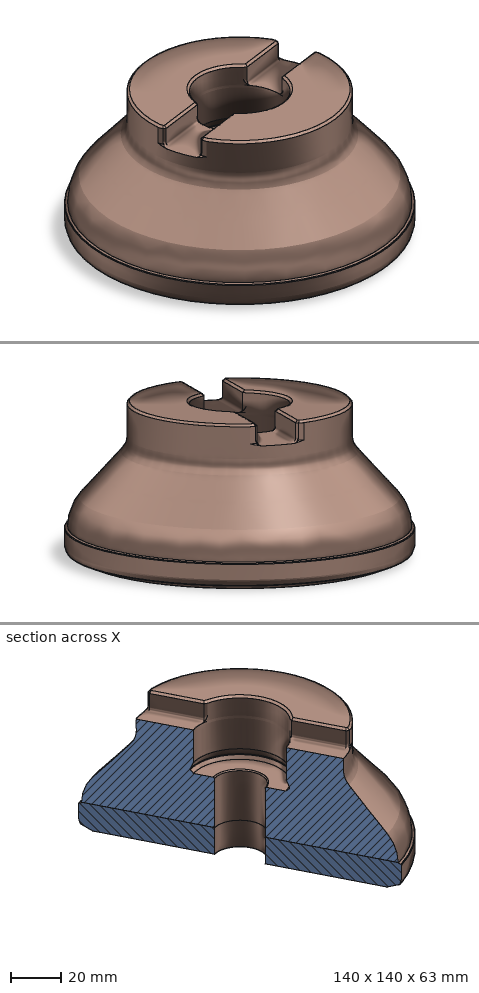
import cadquery as cq
import math

total_height = 63.0
disc_height = 11.9
bore_floor_z = 34.6

disc_radius = 70.0
rim_top_z = 11.5
rim_taper_z = 4.5
lower_rim_radius = 69.3
lower_rim_z = 2.2
underside_radius = 63.7
rim_edge_break = 0.3

dome_radius = 137.5 / 2
dome_round = 18.0
flank_angle = math.radians(42)
neck_radius = 90.0 / 2
neck_round = 9.4

upper_bore_radius = 40.2 / 2
bore_radius = 40.0 / 2
bore_taper_height = 1.1
relief_top_z = 39.3
relief_depth = 1.4
relief_flat_height = 0.4
through_radius = 22.0 / 2
through_chamfer = 0.49

slot_half_width = 16.4 / 2
slot_depth = 9.0
slot_corner_round = 1.7
slot_end_flat_y = 43.5
slot_bore_flare_y = 18.9
slot_bore_flare_length = 2.1
edge_chamfer = 1.0

slot_floor_z = total_height - slot_depth
overcut = 1.4


def revolve_profile(profile):
    """Turn a closed radius-height outline into a solid around Z."""
    return profile.close().revolve(360, (0, 0, 0), (0, 1, 0))


def make_base_disc():
    """Disc with a tapered lower rim and a shallow conical underside."""
    profile = (
        cq.Workplane("XZ")
        .moveTo(through_radius, 0)
        .lineTo(underside_radius, 0)
        .lineTo(lower_rim_radius, lower_rim_z)
        .lineTo(disc_radius, rim_taper_z)
        .lineTo(disc_radius, rim_top_z)
        .lineTo(dome_radius, disc_height)
        .lineTo(through_radius, disc_height)
    )
    disc = revolve_profile(profile)
    rim_edges = cq.selectors.BoxSelector(
        (-disc_radius, -disc_radius, lower_rim_z / 2),
        (disc_radius, disc_radius, (rim_top_z + disc_height) / 2),
    )
    return disc.edges("%CIRCLE").edges(rim_edges).chamfer(rim_edge_break)


def make_bell_blank():
    """Dome, conical flank and neck, joined by tangent rounds."""
    dome_end_r = dome_radius - dome_round * (1 - math.cos(flank_angle))
    dome_end_z = disc_height + dome_round * math.sin(flank_angle)
    dome_mid_r = dome_radius - dome_round * (1 - math.cos(flank_angle / 2))
    dome_mid_z = disc_height + dome_round * math.sin(flank_angle / 2)
    neck_end_r = neck_radius + neck_round * (1 - math.cos(flank_angle))
    neck_end_z = dome_end_z + (dome_end_r - neck_end_r) / math.tan(flank_angle)
    neck_start_z = neck_end_z + neck_round * math.sin(flank_angle)
    neck_mid_r = neck_radius + neck_round * (1 - math.cos(flank_angle / 2))
    neck_mid_z = neck_start_z - neck_round * math.sin(flank_angle / 2)
    profile = (
        cq.Workplane("XZ")
        .moveTo(0, disc_height)
        .lineTo(dome_radius, disc_height)
        .threePointArc((dome_mid_r, dome_mid_z), (dome_end_r, dome_end_z))
        .lineTo(neck_end_r, neck_end_z)
        .threePointArc((neck_mid_r, neck_mid_z), (neck_radius, neck_start_z))
        .lineTo(neck_radius, total_height)
        .lineTo(0, total_height)
    )
    return revolve_profile(profile)


def make_bore():
    """Stepped bore with a relief groove just above its floor."""
    groove_radius = bore_radius + relief_depth
    groove_low_z = bore_floor_z + relief_depth
    profile = (
        cq.Workplane("XZ")
        .moveTo(0, disc_height)
        .lineTo(through_radius, disc_height)
        .lineTo(through_radius, bore_floor_z - through_chamfer)
        .lineTo(through_radius + through_chamfer, bore_floor_z)
        .lineTo(bore_radius, bore_floor_z)
        .lineTo(groove_radius, groove_low_z)
        .lineTo(groove_radius, groove_low_z + relief_flat_height)
        .lineTo(bore_radius, relief_top_z)
        .lineTo(bore_radius, slot_floor_z - bore_taper_height)
        .lineTo(upper_bore_radius, slot_floor_z)
        .lineTo(upper_bore_radius, total_height)
        .lineTo(0, total_height)
    )
    return revolve_profile(profile)


def make_slot_section(half_width, corner_round, y):
    """Slot cross-section at one place along Y, with rounded floor corners."""
    top_z = total_height + overcut
    round_x = half_width - corner_round
    round_z = slot_floor_z + corner_round
    arc_x = round_x + corner_round * math.sin(math.pi / 4)
    arc_z = round_z - corner_round * math.cos(math.pi / 4)
    section = (
        cq.Workplane("XZ", origin=(0, y, 0))
        .moveTo(-half_width, top_z)
        .lineTo(-half_width, round_z)
        .threePointArc((-arc_x, arc_z), (-round_x, slot_floor_z))
        .lineTo(round_x, slot_floor_z)
        .threePointArc((arc_x, arc_z), (half_width, round_z))
        .lineTo(half_width, top_z)
        .close()
    )
    return section.wire().val()


def make_slot():
    """Slot right across the neck."""
    half_length = neck_radius + overcut
    ends = [
        make_slot_section(slot_half_width, slot_corner_round, y)
        for y in (-half_length, half_length)
    ]
    return cq.Workplane(cq.Solid.makeLoft(ends, True))


def make_slot_flare(start_y, end_y):
    """Slot walls and floor corners widening at 45 degrees from start_y to end_y."""
    growth = abs(end_y - start_y)
    narrow = make_slot_section(slot_half_width, slot_corner_round, start_y)
    wide = make_slot_section(slot_half_width + growth, slot_corner_round + growth, end_y)
    return cq.Workplane(cq.Solid.makeLoft([narrow, wide], True))


def make_slot_end_cut():
    """Flat across the +Y end of the slot, with a 45 degree foot down to the slot floor."""
    outer_y = neck_radius + overcut
    return (
        cq.Workplane("YZ")
        .moveTo(slot_end_flat_y, total_height)
        .lineTo(slot_end_flat_y, slot_floor_z + edge_chamfer)
        .lineTo(slot_end_flat_y + edge_chamfer, slot_floor_z)
        .lineTo(outer_y, slot_floor_z)
        .lineTo(outer_y, total_height)
        .close()
        .extrude(neck_radius / 2, both=True)
    )


def make_bell_body():
    """Bell with its bore, drive slot and broken edges."""
    body = make_bell_blank().cut(make_bore()).cut(make_slot())
    outer_flare = make_slot_flare(slot_end_flat_y - edge_chamfer, neck_radius + overcut)
    inner_flare = make_slot_flare(slot_bore_flare_y, slot_bore_flare_y - slot_bore_flare_length)
    for end_cut in (make_slot_end_cut(), outer_flare, inner_flare):
        body = body.cut(end_cut).cut(end_cut.mirror("XZ"))
    return body.faces(">Z").edges().chamfer(edge_chamfer)


base_disc = make_base_disc()
bell_body = make_bell_body()
result = cq.Compound.makeCompound([bell_body.solids().val(), base_disc.solids().val()])